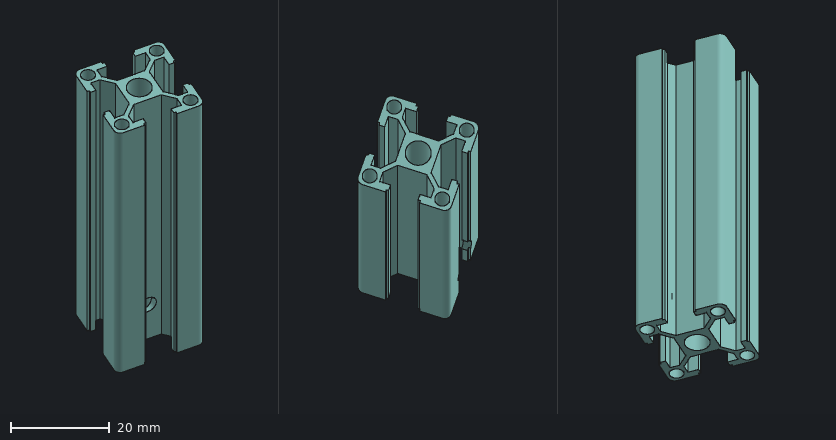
import cadquery as cq

length = 70.0
width = 20.0
corner_radius = 1.5

slot_opening = 6.3
lip_thickness = 1.75
lip_step_width = 0.5
lip_step_depth = 0.5
cavity_width = 11.0
core_width = 7.6
web_offset = 0.7

core_bore_diameter = 5.25
corner_bore_diameter = 3.0
corner_bore_position = 7.8

cross_hole_diameter = 4.0
counterbore_diameter = 8.5
cross_hole_height = 10.0

half_width = width / 2
half_core = core_width / 2
half_opening = slot_opening / 2
half_cavity = cavity_width / 2


def make_slot():
    """T-slot on the +Y side, with stepped lips and 45 degree flanks along the webs."""
    right_side = [
        (half_core - web_offset, half_core),
        (half_cavity, half_cavity + web_offset),
        (half_cavity, half_width - lip_thickness),
        (half_opening, half_width - lip_thickness),
        (half_opening, half_width - lip_step_depth),
        (half_opening + lip_step_width, half_width - lip_step_depth),
        (half_opening + lip_step_width, half_width),
    ]
    left_side = [(-x, y) for x, y in reversed(right_side)]
    return cq.Workplane("XY").polyline(right_side + left_side).close().extrude(length)


def make_profile():
    """Square bar with a T-slot in each side and five lengthwise bores."""
    bar = cq.Workplane("XY").rect(width, width).extrude(length)
    bar = bar.edges("|Z").fillet(corner_radius)
    slot = make_slot()
    for angle in (0, 90, 180, 270):
        bar = bar.cut(slot.rotate((0, 0, 0), (0, 0, 1), angle))

    core_bore = cq.Workplane("XY").circle(core_bore_diameter / 2).extrude(length)
    corner_bores = (
        cq.Workplane("XY")
        .rect(2 * corner_bore_position, 2 * corner_bore_position, forConstruction=True)
        .vertices()
        .circle(corner_bore_diameter / 2)
        .extrude(length)
    )
    return bar.cut(core_bore).cut(corner_bores)


def make_x_cylinder(diameter, x_end):
    """Cutter from the -X face to x_end, at the height of the cross hole."""
    return (
        cq.Workplane("YZ", origin=(-half_width, 0, cross_hole_height))
        .circle(diameter / 2)
        .extrude(x_end + half_width)
    )


counterbore = make_x_cylinder(counterbore_diameter, -half_core)
cross_hole = make_x_cylinder(cross_hole_diameter, half_width)

result = make_profile().cut(counterbore).cut(cross_hole)